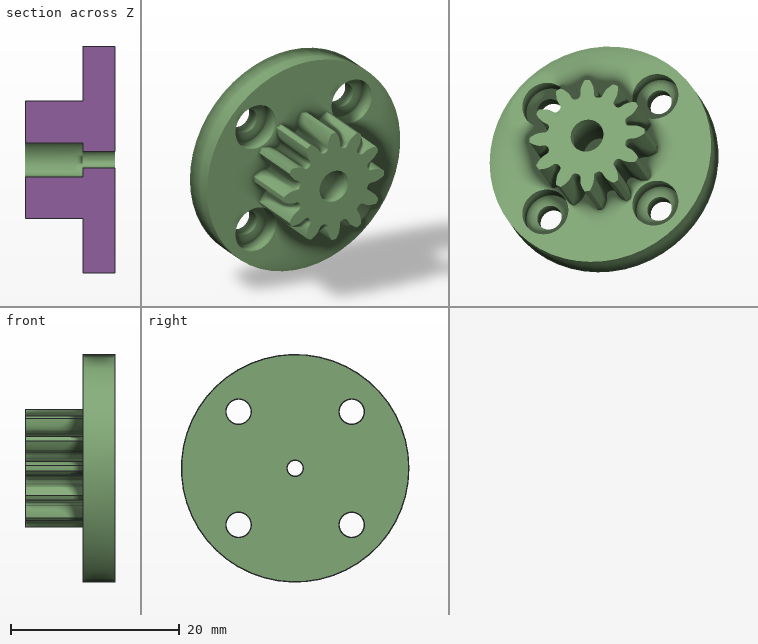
import cadquery as cq
import math

plate_diameter = 27.0
total_length = 10.65
plate_thickness = 3.83
gear_length = total_length - plate_thickness

tooth_count = 12
tooth_module = 1.0
pressure_angle = math.radians(20)
pitch_radius = tooth_module * tooth_count / 2
base_radius = pitch_radius * math.cos(pressure_angle)
tip_radius = 7.0
root_radius = 4.85
root_fillet = 0.49
flank_points = 6

bore_diameter = 4.0
pilot_diameter = 1.9

screw_spacing = 13.42
screw_diameter = 2.97
screw_head_diameter = 5.62
screw_head_depth = 2.1


def polar(radius, angle):
    """Point in the gear plane at an angle from the first tooth's centre line."""
    return (radius * math.cos(angle), radius * math.sin(angle))


def turned(point, angle):
    """Rotate a point about the gear axis."""
    x, y = point
    return (
        x * math.cos(angle) - y * math.sin(angle),
        x * math.sin(angle) + y * math.cos(angle),
    )


def turned_all(points, angle):
    """Rotate a list of points about the gear axis."""
    return [turned(point, angle) for point in points]


def mirrored(points):
    """Reflect points across the tooth's centre line and reverse their order."""
    return [(x, -y) for x, y in reversed(points)]


def involute(flank_angle):
    """Involute function: the polar angle turned through at a given pressure angle."""
    return math.tan(flank_angle) - flank_angle


def flank_half_angle(radius):
    """Half of the angle that a tooth spans at the given radius."""
    flank_angle = math.acos(min(1.0, base_radius / radius))
    return math.pi / (2 * tooth_count) + involute(pressure_angle) - involute(flank_angle)


def involute_flank():
    """Points on one involute flank, from the tip circle in to the base circle."""
    last = flank_points - 1
    radii = [(tip_radius * (last - i) + base_radius * i) / last for i in range(flank_points)]
    return [polar(r, flank_half_angle(r)) for r in radii]


def root_fillet_arc(half_width):
    """Start, middle and end of the fillet between a parallel flank and the root circle."""
    centre_y = half_width + root_fillet
    centre_x = math.sqrt((root_radius + root_fillet) ** 2 - centre_y ** 2)
    centre_angle = math.atan2(centre_y, centre_x)
    flank_side = 3 * math.pi / 2
    root_side = math.pi + centre_angle
    middle_angle = (flank_side + root_side) / 2
    middle = (
        centre_x + root_fillet * math.cos(middle_angle),
        centre_y + root_fillet * math.sin(middle_angle),
    )
    return [(centre_x, half_width), middle, polar(root_radius, centre_angle)]


def gear_outline():
    """Closed outline of all teeth, one tooth and the following root at a time."""
    pitch_angle = 2 * math.pi / tooth_count
    upper_flank = involute_flank()
    lower_flank = mirrored(upper_flank)
    upper_fillet = root_fillet_arc(upper_flank[-1][1])
    lower_fillet = mirrored(upper_fillet)
    tip_arc = [(tip_radius, 0), upper_flank[0]]
    root_middle = polar(root_radius, pitch_angle / 2)
    root_arc = [root_middle, turned(lower_fillet[0], pitch_angle)]

    outline = cq.Workplane("YZ").moveTo(*lower_fillet[0])
    for tooth in range(tooth_count):
        tooth_angle = tooth * pitch_angle
        outline = (
            outline.threePointArc(*turned_all(lower_fillet[1:], tooth_angle))
            .lineTo(*turned(lower_flank[0], tooth_angle))
            .spline(turned_all(lower_flank[1:], tooth_angle), includeCurrent=True)
            .threePointArc(*turned_all(tip_arc, tooth_angle))
            .spline(turned_all(upper_flank[1:], tooth_angle), includeCurrent=True)
            .lineTo(*turned(upper_fillet[0], tooth_angle))
            .threePointArc(*turned_all(upper_fillet[1:], tooth_angle))
            .threePointArc(*turned_all(root_arc, tooth_angle))
        )
    return outline.close()


gear_face = cq.Workplane("YZ")
plate_face = cq.Workplane("YZ", origin=(gear_length, 0, 0))
gear = gear_outline().extrude(gear_length)
plate = plate_face.circle(plate_diameter / 2).extrude(plate_thickness)

bore = gear_face.circle(bore_diameter / 2).extrude(gear_length)
pilot = gear_face.circle(pilot_diameter / 2).extrude(total_length)

screw_pattern = plate_face.rarray(screw_spacing, screw_spacing, 2, 2)
screw_holes = screw_pattern.circle(screw_diameter / 2).extrude(plate_thickness)
screw_heads = screw_pattern.circle(screw_head_diameter / 2).extrude(screw_head_depth)

drilled_plate = plate.cut(screw_holes).cut(screw_heads)
result = drilled_plate.union(gear).cut(bore).cut(pilot)